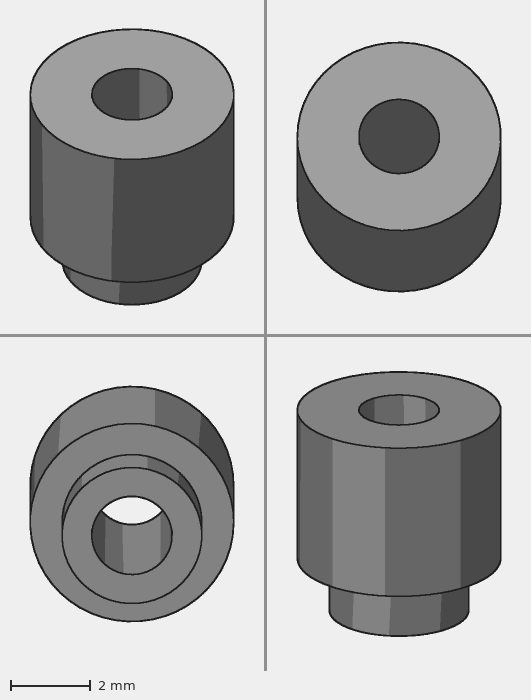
import cadquery as cq

total_height = 5.4
neck_height = 1.4
body_diameter = 5.1
neck_diameter = 3.5
bore_diameter = 2.01

body_height = total_height - neck_height

neck = cq.Workplane("XY").circle(neck_diameter / 2).extrude(neck_height)

stepped_bushing = neck.faces(">Z").workplane().circle(body_diameter / 2).extrude(body_height)

result = stepped_bushing.faces(">Z").workplane().hole(bore_diameter)